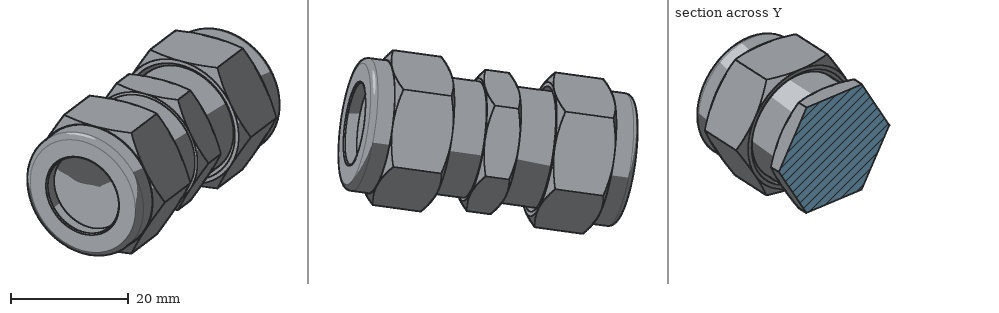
import cadquery as cq
import math

hex_sides = 6
nut_across_flats = 23.0
body_hex_across_flats = 21.0
neck_diameter = 20.0
collar_diameter = 22.8
bore_diameter = 14.0

body_hex_length = 6.0
neck_length = 6.0
nut_length = 10.5
collar_length = 4.0

nut_mouth_chamfer = 0.75
collar_edge_radius = 1.0
hex_chamfer_angle = 30.0
bore_mouth_diameter = 14.5
bore_mouth_chamfer_depth = 0.25
bore_depth = 2.3
bore_floor_cone_depth = 0.1

body_hex_end = body_hex_length / 2
nut_start = body_hex_end + neck_length
nut_end = nut_start + nut_length
part_end = nut_end + collar_length


def revolve_about_y(points):
    """Solid of revolution from (radius, y) points that start and end on the Y axis."""
    return cq.Workplane("XY").polyline(points).close().revolve(360, (0, 0), (0, 1))


def rod(diameter, y_start, y_end):
    """Round bar between two stations along Y."""
    radius = diameter / 2
    return revolve_about_y([(0, y_start), (radius, y_start), (radius, y_end), (0, y_end)])


def chamfered_hex(across_flats, y_start, y_end):
    """Hexagon with flats facing +Z and -Z, its corners turned off conically at both ends."""
    flat_radius = across_flats / 2
    corner_radius = flat_radius / math.cos(math.pi / hex_sides)
    prism = (
        cq.Workplane("XZ", origin=(0, y_end, 0))
        .polygon(hex_sides, 2 * corner_radius)
        .extrude(y_end - y_start)
    )
    half_length = (y_end - y_start) / 2
    meeting_radius = flat_radius + half_length / math.tan(math.radians(hex_chamfer_angle))
    turning_envelope = revolve_about_y(
        [
            (0, y_start),
            (flat_radius, y_start),
            (meeting_radius, y_start + half_length),
            (flat_radius, y_end),
            (0, y_end),
        ]
    )
    return prism.intersect(turning_envelope)


def collar():
    """Round end of the nut, with its outer rim rounded over."""
    return rod(collar_diameter, nut_end, part_end).faces(">Y").edges().fillet(collar_edge_radius)


def bore():
    """Blind tube socket with a chamfered mouth and a shallow conical floor."""
    bore_radius = bore_diameter / 2
    floor = part_end - bore_depth
    return revolve_about_y(
        [
            (0, part_end),
            (bore_mouth_diameter / 2, part_end),
            (bore_radius, part_end - bore_mouth_chamfer_depth),
            (bore_radius, floor),
            (0, floor - bore_floor_cone_depth),
        ]
    )


def nut():
    """Compression nut on the +Y end: hexagon, collar, bore and a 45 degree inner mouth chamfer."""
    neck_radius = neck_diameter / 2
    mouth_chamfer = revolve_about_y(
        [
            (0, nut_start),
            (neck_radius + nut_mouth_chamfer, nut_start),
            (neck_radius, nut_start + nut_mouth_chamfer),
            (0, nut_start + nut_mouth_chamfer),
        ]
    )
    solid_nut = chamfered_hex(nut_across_flats, nut_start, nut_end).union(collar())
    return solid_nut.cut(mouth_chamfer).cut(bore())


def body():
    """Round neck reaching the inner ends of both mouth chamfers, with a hexagon in the middle."""
    neck_end = nut_start + nut_mouth_chamfer
    neck = rod(neck_diameter, -neck_end, neck_end)
    return neck.union(chamfered_hex(body_hex_across_flats, -body_hex_end, body_hex_end))


end_nut = nut()
result = body().union(end_nut).union(end_nut.mirror("XZ"))